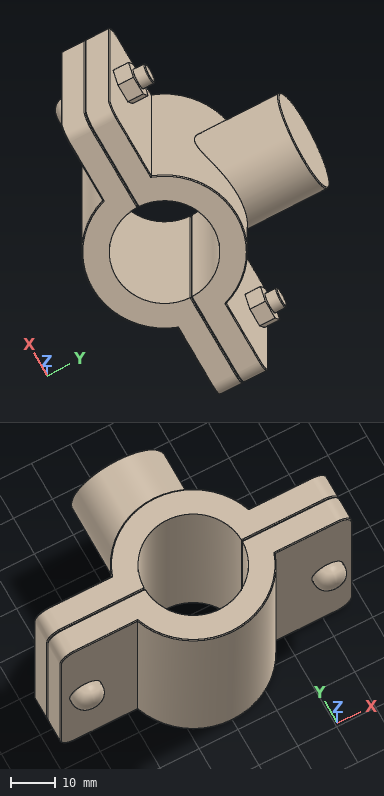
import cadquery as cq
import math

bore_radius = 12.5
barrel_radius = 1.5 * bore_radius
plate_thickness = bore_radius / 2
clamp_width = 4 * barrel_radius
clamp_height = 4 * bore_radius
corner_radius = clamp_width / 20
edge_chamfer = 0.25

stub_diameter = 24.22
stub_end_y = 36.0

bolt_x = 31.1
bolt_diameter = 5.0
bolt_projection = 7.0
head_diameter = 8.0
head_height = 4.0
head_dome_radius = 3.0
nut_across_flats = 8.0
nut_across_corners = nut_across_flats / math.cos(math.radians(30))
nut_height = 4.0


def cylinder_along_y(diameter, start_y, end_y):
    """Solid cylinder on the Y axis."""
    start = cq.Vector(0, start_y, 0)
    return cq.Workplane(cq.Solid.makeCylinder(diameter / 2, end_y - start_y, start, cq.Vector(0, 1, 0)))


def upright_cylinder(radius):
    """Solid cylinder on the Z axis, as tall as the clamp."""
    return cq.Workplane().circle(radius).extrude(clamp_height / 2, both=True)


def front_half():
    """Clamp half on the -Y side of the split plane, not yet bored."""
    plate = cq.Workplane().box(clamp_width, plate_thickness, clamp_height)
    plate = plate.translate((0, -plate_thickness / 2, 0))
    plate = plate.edges("|Y").fillet(corner_radius)
    plate = plate.faces("<Y").edges().chamfer(edge_chamfer)

    barrel = upright_cylinder(barrel_radius).faces("|Z").edges().chamfer(edge_chamfer)
    front_space = cq.Workplane().box(clamp_width, barrel_radius, clamp_height)
    front_space = front_space.translate((0, -barrel_radius / 2, 0))
    return plate.union(barrel.intersect(front_space))


def stub():
    """Round branch stub with a chamfered end, starting at the split plane."""
    return cylinder_along_y(stub_diameter, 0, stub_end_y).faces(">Y").edges().chamfer(edge_chamfer)


def bore_half(half, split_face):
    """Cut the bore and chamfer every edge of the split face."""
    bored = half.cut(upright_cylinder(bore_radius))
    return bored.faces(split_face).edges().chamfer(edge_chamfer)


def bolt():
    """Bolt with its head and nut, centred on the Y axis."""
    head = cylinder_along_y(head_diameter, -plate_thickness - head_height, -plate_thickness)
    head = head.faces("<Y").edges().fillet(head_dome_radius)

    shank = cylinder_along_y(bolt_diameter, -plate_thickness, plate_thickness + bolt_projection)
    shank = shank.faces(">Y").edges().chamfer(edge_chamfer)

    nut = cq.Workplane("XZ", origin=(0, plate_thickness, 0)).polygon(6, nut_across_corners)
    nut = nut.extrude(-nut_height)
    return head.union(shank).union(nut)


front = bore_half(front_half(), ">Y")
rear = bore_half(front_half().mirror("XZ").union(stub()), "<Y")
result = front.union(rear)
for x in (-bolt_x, bolt_x):
    result = result.union(bolt().translate((x, 0, 0)))